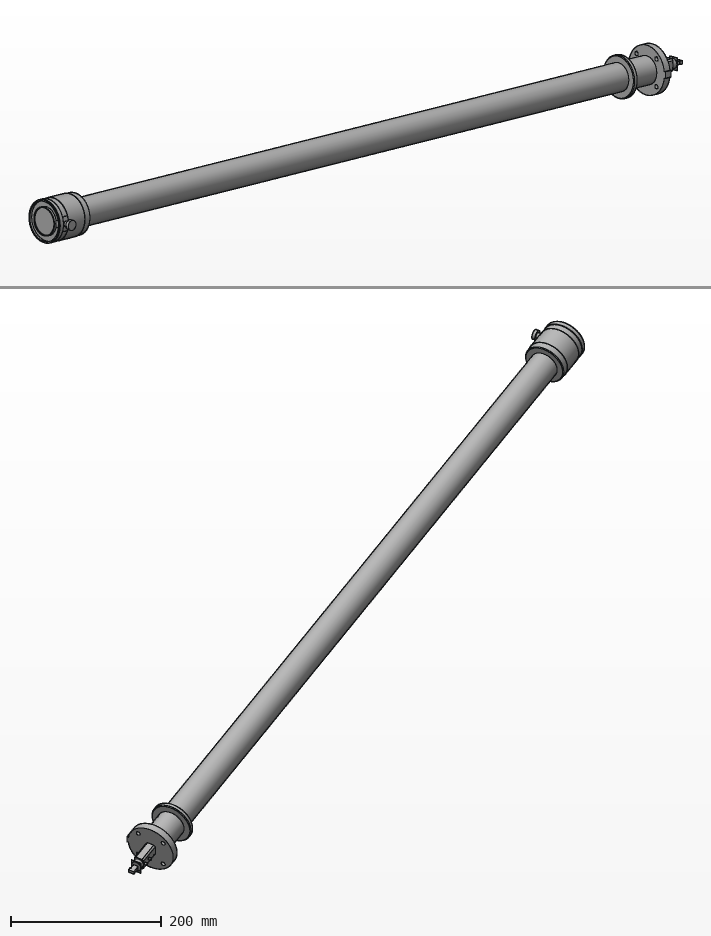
import cadquery as cq

length = 1170.0
overall_width = 75.0
front_y = -length / 2
back_y = length / 2

tube_diameter = 40.0
lens_rim_width = 1.0
lens_recess = 1.0

flange_diameter = 69.0
flange_thickness = 10.0
flange_back_y = back_y - 51.0
flange_front_y = flange_back_y - flange_thickness
hole_count = 4
hole_circle_radius = 27.0
hole_diameter = 6.0
tab_reach = 36.0
tab_width = 9.0

collar_diameter = 60.0
collar_thickness = 7.0
rim_chamfer = 1.0
collar_front_y = back_y - 113.0

crown_length = 57.0
crown_back_y = front_y + crown_length
core_diameter = 58.0
front_rim_thickness = 8.0
sleeve_front_y = front_y + 16.0
sleeve_back_y = crown_back_y - 10.0
crown_bore_diameter = 55.0
crown_bore_depth = 4.0

thumb_reach = overall_width - flange_diameter / 2
thumb_head_diameter = 14.0
thumb_head_height = 5.0
thumb_shank_diameter = 8.0
thumb_boss_diameter = 21.0
thumb_y = front_y + 13.0

block_width = 14.0
block_height = 18.0
block_chamfer = 2.0
plate_thickness = 1.0
plate_back_y = back_y - 12.0
neck_length = 7.0
block_back_y = plate_back_y - plate_thickness - neck_length

button_diameter = 4.0
button_height = 4.0
button_ys = (back_y - 23.0, back_y - 34.0)

hook_left = -4.0
hook_stem_width = 7.0
hook_tip_width = 8.0
hook_tip_length = 5.0
hook_thickness = 5.0


def disc(diameter, y_start, y_end):
    """Cylinder about the Y axis between two Y positions."""
    face = cq.Workplane("XZ", origin=(0, y_start, 0)).circle(diameter / 2)
    return face.extrude(y_start - y_end)


def rod_along_x(diameter, x_start, x_end, y):
    """Cylinder parallel to the X axis at height Z = 0."""
    face = cq.Workplane("YZ", origin=(x_start, y, 0)).circle(diameter / 2)
    return face.extrude(x_end - x_start)


def block_along_y(width, height, y_start, y_end):
    """Rectangular bar centred on the Y axis."""
    face = cq.Workplane("XZ", origin=(0, y_start, 0)).rect(width, height)
    return face.extrude(y_start - y_end)


def make_tube():
    tube = disc(tube_diameter, front_y, flange_back_y)
    lens_diameter = tube_diameter - 2 * lens_rim_width
    return tube.cut(disc(lens_diameter, front_y, front_y + lens_recess))


def make_flange():
    flange = disc(flange_diameter, flange_front_y, flange_back_y)
    tab = cq.Workplane("XY").box(tab_reach, flange_thickness, tab_width, centered=(False, False, True))
    flange = flange.union(tab.translate((0, flange_front_y, 0)))
    holes = (
        cq.Workplane("XZ", origin=(0, flange_back_y, 0))
        .polarArray(hole_circle_radius, 360 / hole_count / 2, 360, hole_count)
        .circle(hole_diameter / 2)
        .extrude(flange_thickness)
    )
    return flange.cut(holes)


def make_rim(y_start, thickness):
    """Ring chamfered on both sides, used for the collar and the crown's front rim."""
    rim = disc(collar_diameter, y_start, y_start + thickness)
    return rim.faces("<Y or >Y").chamfer(rim_chamfer)


def make_crown():
    crown = disc(core_diameter, front_y, crown_back_y)
    crown = crown.faces(">Y").chamfer(rim_chamfer)
    crown = crown.union(disc(collar_diameter, sleeve_front_y, sleeve_back_y))
    crown = crown.union(make_rim(front_y, front_rim_thickness))
    return crown.cut(disc(crown_bore_diameter, front_y, front_y + crown_bore_depth))


def make_thumb_screw():
    head_start = thumb_reach - thumb_head_height
    shank = rod_along_x(thumb_shank_diameter, 0, head_start, thumb_y)
    boss = rod_along_x(thumb_boss_diameter, 0, crown_bore_diameter / 2, thumb_y)
    head = rod_along_x(thumb_head_diameter, head_start, thumb_reach, thumb_y)
    return shank.union(boss).union(head)


def make_connector():
    block = block_along_y(block_width, block_height, flange_back_y, block_back_y)
    connector = block.edges("|Y").chamfer(block_chamfer)
    neck_end = block_back_y + neck_length
    connector = connector.union(disc(block_width, block_back_y, neck_end))
    connector = connector.union(block_along_y(block_width, block_height, neck_end, plate_back_y))
    for button_y in button_ys:
        button_end = -block_width / 2 - button_height
        connector = connector.union(rod_along_x(button_diameter, button_end, 0, button_y))
    return connector


def make_hook():
    outline = (
        cq.Workplane("XY", origin=(hook_left, back_y, -hook_thickness / 2))
        .hLine(hook_tip_width)
        .vLine(-hook_tip_length)
        .hLine(hook_stem_width - hook_tip_width)
        .vLineTo(plate_back_y - back_y)
        .hLineTo(0)
        .close()
    )
    return outline.extrude(hook_thickness)


result = (
    make_tube()
    .union(make_flange())
    .union(make_rim(collar_front_y, collar_thickness))
    .union(make_crown())
    .union(make_thumb_screw())
    .union(make_connector())
    .union(make_hook())
)